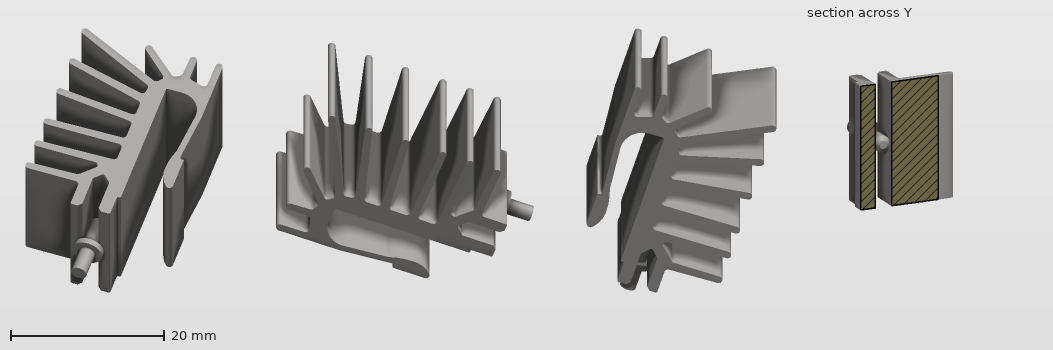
import cadquery as cq
import math


HEIGHT = 17.0
FIN_LEFT = -10.2
FIN_TOP = 27.97
CLIP_RIGHT = 9.2

WALL_LEFT = 0.85
WALL_RIGHT = 3.33
FOOT_LEFT = -2.62
FOOT_RIGHT = 2.85
FOOT_STEP = 2.97
WALL_EDGE_RADIUS = 0.2

TIP_RADIUS = 0.5
ROOT_RADIUS = TIP_RADIUS
TIP_LEFT = FIN_LEFT + TIP_RADIUS
TIP_TOP = FIN_TOP - TIP_RADIUS

SLOT_HALF_WIDTH = 1.13
SLOT_SHOULDER = 4.88
SLOT_APEX = SLOT_SHOULDER + SLOT_HALF_WIDTH
SLOT_APEX_RADIUS = 0.25
SLOT_MOUTH_CHAMFER = 0.5

CAVITY_TOP = 21.9
CAVITY_RADIUS = 2.95
CLIP_SLANT_START = 19.02
CLIP_INNER_TOP_X = 8.62
CLIP_INNER_END = (7.85, 12.6)
CLIP_WAIST_X = 8.6
PAD_TOP = 11.5
PAD_BOTTOM = 6.5
PAD_NOSE = (7.3, 9.25)
PAD_NOSE_UPPER_RADIUS = 9.7
PAD_NOSE_LOWER_RADIUS = 3.68
PAD_WAIST_RADIUS = 0.3
PAD_END_RADIUS = 0.5

PIN_LEAD_DIAMETER = 2.1
PIN_LEAD_LENGTH = 4.33
COLLAR_DIAMETER = 4.05
COLLAR_THICKNESS = 0.8
PLUG_LENGTH = 4.78
PLUG_CHAMFER = 0.58


def toward(start, end, distance):
    """Return the point at a distance from start in the direction of end."""
    length = math.dist(start, end)
    return tuple(s + (e - s) * distance / length for s, e in zip(start, end))


def corner_round(before, corner, after, radius):
    """Return the start, middle and end of the arc that rounds a corner."""
    span_before = math.dist(corner, before)
    span_after = math.dist(corner, after)
    dot = sum((b - c) * (a - c) for b, c, a in zip(before, corner, after))
    half_angle = math.acos(dot / (span_before * span_after)) / 2
    start = toward(corner, before, radius / math.tan(half_angle))
    end = toward(corner, after, radius / math.tan(half_angle))
    chord_middle = tuple((s + e) / 2 for s, e in zip(start, end))
    middle = toward(corner, chord_middle, radius / math.sin(half_angle) - radius)
    return start, middle, end


def tip_round(root_before, center, root_after, radius):
    """Return the arc around a fin tip, tangent to the flanks from both roots.

    The outline runs clockwise, so each flank has the tip circle on its right.
    """
    def tangent_angle(root, side):
        bearing = math.atan2(root[1] - center[1], root[0] - center[0])
        return bearing + side * math.acos(radius / math.dist(root, center))

    start_angle = tangent_angle(root_before, -1)
    end_angle = tangent_angle(root_after, 1)
    sweep = (start_angle - end_angle) % (2 * math.pi)
    angles = (start_angle, start_angle - sweep / 2, end_angle)
    return tuple(
        (center[0] + radius * math.cos(a), center[1] + radius * math.sin(a)) for a in angles
    )


def arc_middle(start, end, radius):
    """Return the middle of a short arc that bulges left of start-to-end."""
    chord = math.dist(start, end)
    rise = radius - math.sqrt(radius**2 - chord**2 / 4)
    along = ((end[0] - start[0]) / chord, (end[1] - start[1]) / chord)
    return (
        (start[0] + end[0]) / 2 - along[1] * rise,
        (start[1] + end[1]) / 2 + along[0] * rise,
    )


def draw_rounded(path, before, corners, after):
    """Extend a path through (point, radius) corners; a zero radius stays sharp."""
    points = [before] + [point for point, _ in corners] + [after]
    for index, (point, radius) in enumerate(corners):
        if radius == 0:
            path = path.lineTo(*point)
        else:
            start, middle, end = corner_round(points[index], point, points[index + 2], radius)
            path = path.lineTo(*start).threePointArc(middle, end)
    return path


def fin_tips():
    """Return the tip circle centers, from the foot around to the clip."""
    left_tips = [(TIP_LEFT, y) for y in (4.25, 8.08, 11.9, 17.12, 22.3, TIP_TOP)]
    top_tips = [(x, TIP_TOP) for x in (-0.95, 5.17, CLIP_RIGHT - TIP_RADIUS)]
    return left_tips + top_tips


def fin_valleys():
    """Return the corners of the floors before, between and after the fins."""
    step_x = -1.23
    foot_floor = [
        ((-3.15, 4.88), ROOT_RADIUS),
        ((step_x, 6.8), 0),
        ((step_x, 7.5), ROOT_RADIUS),
    ]
    floors = [
        [(WALL_LEFT, 8.7), (WALL_LEFT, 11.3)],
        [(WALL_LEFT, 12.47), (WALL_LEFT, 15.28)],
        [(WALL_LEFT, 16.45), (WALL_LEFT, 18.75)],
        [(0.87, 20.03), (1.03, 21.55)],
        [(1.65, 22.48), (2.55, 23.48)],
        [(3.55, 24.0), (4.6, 24.58)],
        [(5.7, 24.4), (8.2, 23.6)],
    ]
    rounded_floors = [[(point, ROOT_RADIUS) for point in floor] for floor in floors]
    before_first_fin = [((FOOT_LEFT, 3.7), ROOT_RADIUS)]
    after_last_fin = [((CLIP_RIGHT, CLIP_SLANT_START), 0)]
    return [before_first_fin, foot_floor] + rounded_floors + [after_last_fin]


def draw_fins(path, before, after):
    """Draw all the fins and the valleys between them, clockwise."""
    valleys = fin_valleys()
    tips = [
        tip_round(valleys[i][-1][0], center, valleys[i + 1][0][0], TIP_RADIUS)
        for i, center in enumerate(fin_tips())
    ]
    for index, valley in enumerate(valleys):
        valley_start = tips[index - 1][2] if index > 0 else before
        valley_end = tips[index][0] if index < len(tips) else after
        path = draw_rounded(path, valley_start, valley, valley_end)
        if index < len(tips):
            start, middle, end = tips[index]
            path = path.lineTo(*start).threePointArc(middle, end)
    return path


def draw_clip(path, before, after):
    """Draw the spring clip from its slanted outer face to the cavity corner."""
    end_center = (CLIP_RIGHT - PAD_END_RADIUS, PAD_BOTTOM + PAD_END_RADIUS)
    nose_center = (PAD_NOSE[0] + PAD_NOSE_LOWER_RADIUS, PAD_NOSE[1])
    end_start = (CLIP_RIGHT, end_center[1])
    nose_end = toward(nose_center, end_center, PAD_NOSE_LOWER_RADIUS)
    end_middle = (end_center[0], PAD_BOTTOM)
    pad_corners = [
        ((CLIP_WAIST_X, PAD_TOP), PAD_WAIST_RADIUS),
        ((CLIP_RIGHT, PAD_TOP), 0),
    ]
    path = draw_rounded(path, before, pad_corners, end_start)
    path = path.lineTo(*end_start).threePointArc(end_middle, nose_end)
    path = path.threePointArc(arc_middle(nose_end, PAD_NOSE, PAD_NOSE_LOWER_RADIUS), PAD_NOSE)
    path = path.threePointArc(
        arc_middle(PAD_NOSE, CLIP_INNER_END, PAD_NOSE_UPPER_RADIUS), CLIP_INNER_END
    )
    cavity_corner = [((CLIP_INNER_TOP_X, CAVITY_TOP), CAVITY_RADIUS)]
    return draw_rounded(path, CLIP_INNER_END, cavity_corner, after)


def draw_foot(path, after):
    """Draw the wall's flat side, the foot step and the pin slot."""
    mouth = SLOT_HALF_WIDTH + SLOT_MOUTH_CHAMFER
    corners = [
        ((WALL_RIGHT, CAVITY_TOP), WALL_EDGE_RADIUS),
        ((WALL_RIGHT, FOOT_STEP), WALL_EDGE_RADIUS),
        ((FOOT_RIGHT, FOOT_STEP), WALL_EDGE_RADIUS),
        ((FOOT_RIGHT, 0), WALL_EDGE_RADIUS),
        ((mouth, 0), 0),
        ((SLOT_HALF_WIDTH, SLOT_MOUTH_CHAMFER), 0),
        ((SLOT_HALF_WIDTH, SLOT_SHOULDER), 0),
        ((0, SLOT_APEX), SLOT_APEX_RADIUS),
        ((-SLOT_HALF_WIDTH, SLOT_SHOULDER), 0),
        ((-SLOT_HALF_WIDTH, SLOT_MOUTH_CHAMFER), 0),
        ((-mouth, 0), 0),
        ((FOOT_LEFT, 0), WALL_EDGE_RADIUS),
    ]
    return draw_rounded(path, (CLIP_RIGHT, CAVITY_TOP), corners, after)


def make_heat_sink():
    """Extrude the finned outline symmetrically about mid-height."""
    foot_side = (FOOT_LEFT, WALL_EDGE_RADIUS)
    path = cq.Workplane("XY").moveTo(*foot_side)
    path = draw_fins(path, foot_side, (CLIP_WAIST_X, PAD_TOP))
    path = draw_clip(path, (CLIP_RIGHT, CLIP_SLANT_START), (WALL_RIGHT, CAVITY_TOP))
    path = draw_foot(path, foot_side)
    return path.close().extrude(HEIGHT / 2, both=True)


def make_pin():
    """Revolve the lead, the collar and the chamfered plug about the pin axis."""
    half_profile = [
        (-PIN_LEAD_LENGTH, 0),
        (-PIN_LEAD_LENGTH, PIN_LEAD_DIAMETER / 2),
        (-COLLAR_THICKNESS, PIN_LEAD_DIAMETER / 2),
        (-COLLAR_THICKNESS, COLLAR_DIAMETER / 2),
        (0, COLLAR_DIAMETER / 2),
        (0, SLOT_HALF_WIDTH),
        (PLUG_LENGTH - PLUG_CHAMFER, SLOT_HALF_WIDTH),
        (PLUG_LENGTH, SLOT_HALF_WIDTH - PLUG_CHAMFER),
        (PLUG_LENGTH, 0),
    ]
    return cq.Workplane("YZ").polyline(half_profile).close().revolve(360, (0, 0, 0), (1, 0, 0))


heat_sink = make_heat_sink()
pin = make_pin()

result = cq.Compound.makeCompound([heat_sink.val(), pin.val()])